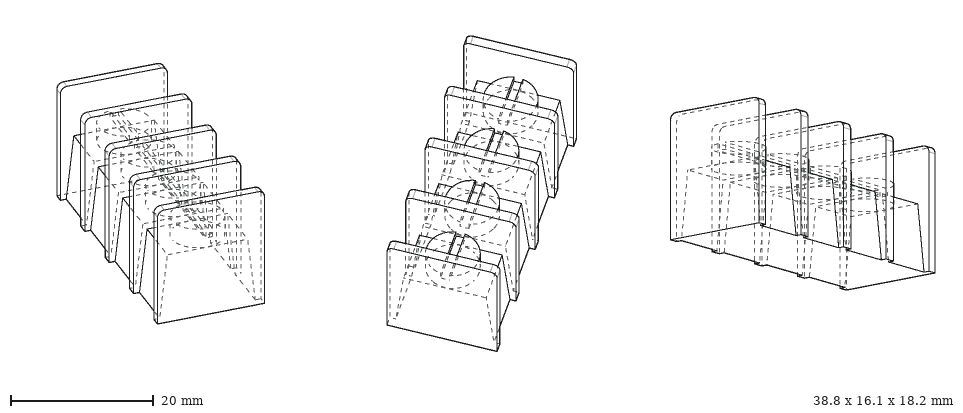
import cadquery as cq

length = 38.8
wall_depth = 16.1
wall_height = 18.2

bay_count = 4
end_wall = 1.4
bay_width = 7.8
bay_pitch = (length - 2 * end_wall - bay_width) / (bay_count - 1)
inner_wall = bay_pitch - bay_width
wall_corner_radius = 1.0

base_bottom_depth = 14.35
base_top_depth = 12.05
base_height = 10.0

head_diameter = 7.7
head_height = 3.0
slot_width = 1.3
slot_depth = 1.0


def bay_center(index):
    """X position of the middle of a bay, counted from -X."""
    return (index - (bay_count - 1) / 2) * bay_pitch


def make_base():
    """Trapezoidal bar running the full length, under all the bays."""
    outline = [
        (-base_bottom_depth / 2, 0),
        (base_bottom_depth / 2, 0),
        (base_top_depth / 2, base_height),
        (-base_top_depth / 2, base_height),
    ]
    return cq.Workplane("YZ").polyline(outline).close().extrude(length / 2, both=True)


def make_wall(center_x, thickness):
    """Upright barrier plate with its two top corners rounded."""
    plate = cq.Workplane("XY").box(thickness, wall_depth, wall_height, centered=(True, True, False))
    plate = plate.edges("|X and >Z").fillet(wall_corner_radius)
    return plate.translate((center_x, 0, 0))


def make_housing():
    """Base bar joined with the end walls and the walls between bays."""
    housing = make_base()
    end_center = (length - end_wall) / 2
    for center_x in (-end_center, end_center):
        housing = housing.union(make_wall(center_x, end_wall))
    for index in range(bay_count - 1):
        center_x = bay_center(index) + bay_pitch / 2
        housing = housing.union(make_wall(center_x, inner_wall))
    return housing


def make_screw(center_x):
    """Round screw head resting on the base, slotted along X."""
    head = cq.Workplane("XY").circle(head_diameter / 2).extrude(head_height)
    slot = (
        cq.Workplane("XY")
        .workplane(offset=head_height - slot_depth)
        .rect(head_diameter, slot_width)
        .extrude(slot_depth)
    )
    return head.cut(slot).translate((center_x, 0, base_height))


housing = make_housing()
screws = [make_screw(bay_center(index)) for index in range(bay_count)]

result = cq.Compound.makeCompound([housing.val(), *[screw.val() for screw in screws]])